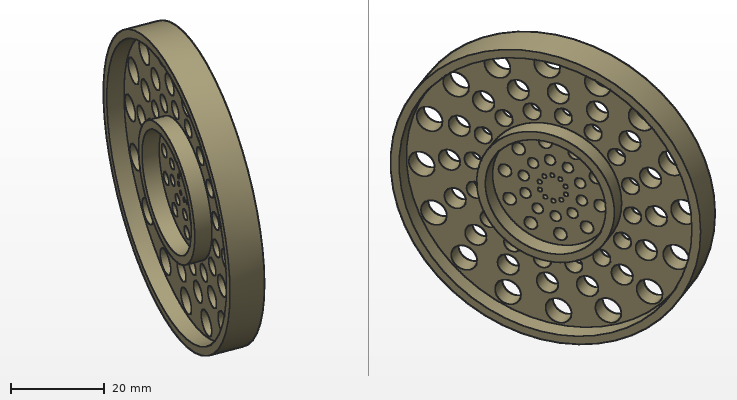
import cadquery as cq

outer_diameter = 72
total_depth = 8.0
floor_thickness = 4.0
wall_thickness = 2.0
hub_diameter = 32.0

rim_inner_diameter = outer_diameter - 2 * wall_thickness
hub_inner_diameter = hub_diameter - 2 * wall_thickness
wall_height = total_depth - floor_thickness

inner_count = 10
outer_count = 16
hole_rings = [
    (3.2, 1.0, inner_count, -15.5),
    (6.9, 2.5, inner_count, -12.5),
    (11.2, 3.0, inner_count, -9),
    (18.65, 4.0, outer_count, -7.5),
    (24.05, 5.0, outer_count, -3),
    (30.45, 6.0, outer_count, 2.5),
]


def face_plane(y):
    """Plane normal to Y whose local axes are +X and +Z, facing -Y."""
    return cq.Workplane("XZ", origin=(0, y, 0))


def ring_wall(outside, inside):
    """Circular wall standing on the open side of the floor."""
    return face_plane(0).circle(outside / 2).circle(inside / 2).extrude(wall_height)


def ring_holes(radius, diameter, count, start_angle):
    """Cutters for one ring of holes through the floor."""
    return (
        face_plane(floor_thickness)
        .polarArray(radius, start_angle, 360, count)
        .circle(diameter / 2)
        .extrude(floor_thickness)
    )


result = face_plane(floor_thickness).circle(outer_diameter / 2).extrude(floor_thickness)

result = result.union(ring_wall(outer_diameter, rim_inner_diameter))
result = result.union(ring_wall(hub_diameter, hub_inner_diameter))

for ring in hole_rings:
    result = result.cut(ring_holes(*ring))